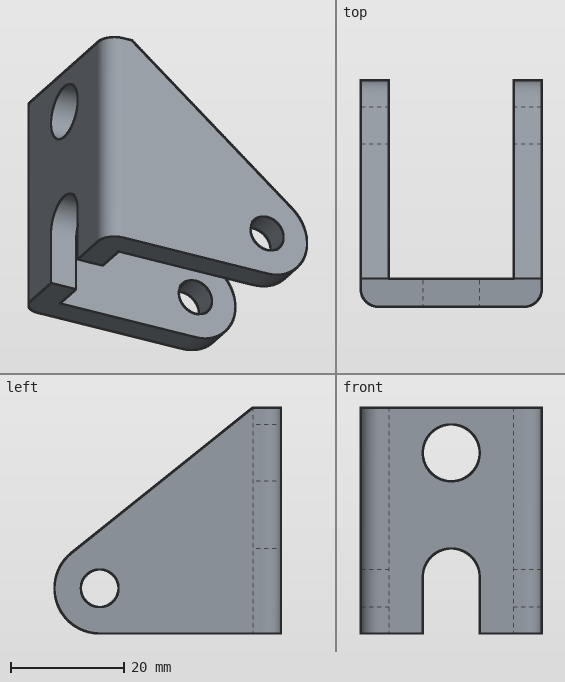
import cadquery as cq
import math

width = 32.0
depth = 40.0
height = 39.88
thickness = 5.0
corner_radius = 3.2

pivot_hole_diameter = 6.6
pivot_radius = 8.0
pivot_y = depth - pivot_radius
pivot_z = pivot_radius

opening_diameter = 10.0
plate_hole_drop = 8.0
plate_hole_z = height - plate_hole_drop
slot_center_z = 10.0


def cheek_profile():
    """Side outline: straight plate edge, sloped top tangent to the pivot arc, flat bottom."""
    run = pivot_y - thickness
    drop = height - pivot_z
    slope_angle = math.atan2(drop, run) - math.asin(pivot_radius / math.hypot(run, drop))
    normal_angle = math.pi / 2 - slope_angle
    mid_angle = (normal_angle - math.pi / 2) / 2

    def on_pivot_arc(angle):
        return (pivot_y + pivot_radius * math.cos(angle), pivot_z + pivot_radius * math.sin(angle))

    return (
        cq.Workplane("YZ")
        .moveTo(0, 0)
        .lineTo(0, height)
        .lineTo(thickness, height)
        .lineTo(*on_pivot_arc(normal_angle))
        .threePointArc(on_pivot_arc(mid_angle), on_pivot_arc(-math.pi / 2))
        .close()
    )


def bracket_body():
    """Cheek outline across the full width, hollowed between the cheeks, with rounded plate corners."""
    inner_width = width - 2 * thickness
    body = cheek_profile().extrude(width / 2, both=True)
    gap = (
        cq.Workplane("XY")
        .box(inner_width, depth, height, centered=(True, False, False))
        .translate((0, thickness, 0))
    )
    return body.cut(gap).edges("|Z and <Y").fillet(corner_radius)


def pivot_hole():
    """Cross hole through both cheeks."""
    return (
        cq.Workplane("YZ")
        .center(pivot_y, pivot_z)
        .circle(pivot_hole_diameter / 2)
        .extrude(width / 2, both=True)
    )


def plate_bore(center_z):
    """Round opening through the plate."""
    return (
        cq.Workplane("XZ")
        .center(0, center_z)
        .circle(opening_diameter / 2)
        .extrude(-thickness)
    )


def plate_slot():
    """Round-topped slot open at the bottom of the plate."""
    straight_part = cq.Workplane("XY").box(
        opening_diameter, thickness, slot_center_z, centered=(True, False, False)
    )
    return straight_part.union(plate_bore(slot_center_z))


result = bracket_body().cut(pivot_hole()).cut(plate_bore(plate_hole_z)).cut(plate_slot())